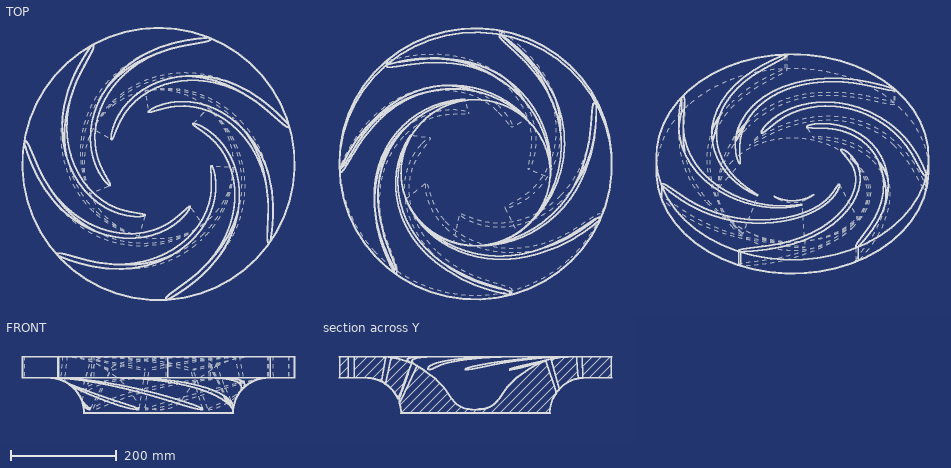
import cadquery as cq
import math


rim_radius = 257.5
body_height = 106.34
rim_width = 40.0
rim_bottom_height = body_height - rim_width

inlet_radius = 141.0
shroud_arc_radius = rim_bottom_height
shroud_arc_center_radius = inlet_radius + shroud_arc_radius

hub_flat_radius = 176.0
hub_arc_radius = 134.0
bowl_radius = 100.4
nose_depth = 100.0
bowl_waist = (61.0, 56.0)
bowl_cup = (42.0, 83.0)

blade_count = 7
blade_thickness = 8.7
blade_pitch_slope = 0.395
leading_edge_radius = 99.0
leading_edge_angle = 202.3
leading_edge_taper = 13.0
trailing_edge_taper = 18.0
smallest_taper = 0.06
rim_web = 0.9
trailing_edge_lean = 1.5
shroud_start_angle = 5.6
shroud_start_rate = 0.62
span_overshoot = 0.15
section_count = 25


def hub_arc_depth(radius):
    reach = hub_flat_radius - radius
    return hub_arc_radius - math.sqrt(hub_arc_radius**2 - reach**2)


def hub_arc_point(radius):
    return (radius, body_height - hub_arc_depth(radius))


def make_body():
    bowl_reach = hub_flat_radius - bowl_radius
    bowl_drop = math.sqrt(hub_arc_radius**2 - bowl_reach**2)
    middle_radius = (hub_flat_radius + bowl_radius) / 2
    bowl_points = [
        (bowl_waist[0], body_height - bowl_waist[1]),
        (bowl_cup[0], body_height - bowl_cup[1]),
        (0, body_height - nose_depth),
    ]
    shroud_middle = (
        shroud_arc_center_radius - shroud_arc_radius * math.cos(math.pi / 4),
        shroud_arc_radius * math.sin(math.pi / 4),
    )
    profile = (
        cq.Workplane("YZ")
        .lineTo(inlet_radius, 0)
        .threePointArc(shroud_middle, (shroud_arc_center_radius, rim_bottom_height))
        .lineTo(rim_radius, rim_bottom_height)
        .lineTo(rim_radius, body_height)
        .lineTo(hub_flat_radius, body_height)
        .threePointArc(hub_arc_point(middle_radius), hub_arc_point(bowl_radius))
        .spline(bowl_points, tangents=[(-bowl_drop, -bowl_reach), (-1, 0)], includeCurrent=True)
        .close()
    )
    return profile.revolve(360, (0, 0, 0), (0, 1, 0))


def wrap_to_radius(radius):
    """Wrap angle from the leading edge at which the hub spiral reaches a radius."""
    return math.degrees(math.log(radius / leading_edge_radius) / blade_pitch_slope)


def spiral_radius(wrap):
    return leading_edge_radius * math.exp(blade_pitch_slope * math.radians(wrap))


def hub_point(wrap):
    radius = spiral_radius(wrap)
    if radius >= hub_flat_radius:
        return (radius, body_height)
    return hub_arc_point(radius)


def shroud_point(wrap):
    arc_wrap = wrap_to_radius(shroud_arc_center_radius)
    if wrap >= arc_wrap:
        return (spiral_radius(wrap), rim_bottom_height)
    growth = (90 - shroud_start_angle - shroud_start_rate * arc_wrap) / arc_wrap**2
    angle = math.radians(shroud_start_angle + shroud_start_rate * wrap + growth * wrap**2)
    radius = shroud_arc_center_radius - shroud_arc_radius * math.cos(angle)
    return (radius, shroud_arc_radius * math.sin(angle))


def taper(distance, length):
    """Elliptical rounding of the gap thickness near one of its ends."""
    fullness = min(1, distance / length)
    return max(smallest_taper, math.sqrt(1 - (1 - fullness) ** 2))


def beyond(start, end):
    """Point past the end of a span, in radius and height."""
    return [b + span_overshoot * (b - a) for a, b in zip(start, end)]


def place(point, angle):
    radius, height = point
    return cq.Vector(radius * math.cos(angle), radius * math.sin(angle), height)


def blade_section(wrap, total_wrap):
    hub = hub_point(wrap)
    shroud = shroud_point(wrap)
    outer_part = taper(wrap, leading_edge_taper) / 2
    full_part = 2 * outer_part * taper(total_wrap - wrap, trailing_edge_taper)
    inner_part = outer_part - full_part
    rim_closeness = max(0, 1 - (total_wrap - wrap) / trailing_edge_taper)
    lean = trailing_edge_lean * rim_closeness**2
    angle = math.radians(leading_edge_angle - wrap + lean)
    tangential_width = blade_thickness / math.sin(math.atan(blade_pitch_slope))
    hub_width = tangential_width / hub[0]
    shroud_width = tangential_width / shroud[0]
    top = beyond(shroud, hub)
    bottom = beyond(hub, shroud)
    corners = [
        place(top, angle + outer_part * hub_width),
        place(top, angle + inner_part * hub_width),
        place(bottom, angle + inner_part * shroud_width),
        place(bottom, angle + outer_part * shroud_width),
    ]
    return cq.Wire.makePolygon(corners, close=True)


def make_blade():
    total_wrap = wrap_to_radius(rim_radius - rim_web)
    sections = []
    for index in range(section_count):
        fraction = (1 - math.cos(math.pi * index / (section_count - 1))) / 2
        sections.append(blade_section(fraction * total_wrap, total_wrap))
    return cq.Workplane(cq.Solid.makeLoft(sections))


passage = make_body()
blade = make_blade()
for blade_index in range(blade_count):
    blade_angle = 360 / blade_count * blade_index
    passage = passage.cut(blade.rotate((0, 0, 0), (0, 0, 1), blade_angle))

result = passage.solids()